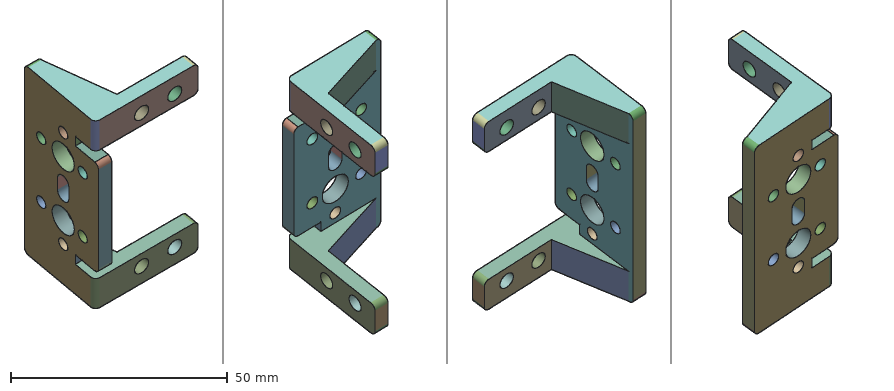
import cadquery as cq

height = 60.0
width = 26.7
thickness = 4.0
corner_radius = 1.5

arm_face_x = 25.4
arm_reach = 31.0
arm_height = 9.6
gusset_reach = 10.0
arm_hole_diameter = 4.2
arm_hole_y = (14.05, 24.0)
arm_hole_inset = 5.5

notch_height = 3.0
notch_x = 18.35

pattern_x = 14.0
pattern_z = 0.6
large_hole_diameter = 8.0
large_hole_offset = 10.2
small_hole_diameter = 3.3
left_hole_spacing = 7.9
right_hole_spacing = 7.0
outer_hole_spacing = 7.6
slot_width = 4.0
slot_length = 8.0


def make_plate():
    """Middle flange and left corners are rounded; both notches open to the right."""
    flange_top = height / 2 - arm_height - notch_height
    plate = cq.Workplane("XY").box(arm_face_x, thickness, height, centered=(False, False, True))
    plate = plate.edges("|Y and <X").fillet(corner_radius)
    for side in (1, -1):
        notch_z = side * (flange_top + notch_height / 2)
        notch = (
            cq.Workplane("XY")
            .box(width - notch_x, thickness, notch_height, centered=(False, False, True))
            .translate((notch_x, 0, notch_z))
        )
        plate = plate.cut(notch)
    flange = (
        cq.Workplane("XY")
        .box(width - notch_x, thickness, 2 * flange_top, centered=(False, False, True))
        .translate((notch_x, 0, 0))
        .edges("|Y and >X")
        .fillet(corner_radius)
    )
    return plate.union(flange)


def make_arm():
    """Arm with its sloping gusset, its lower face at Z = 0."""
    arm_inner_x = arm_face_x - thickness
    outline = [
        (corner_radius, 0),
        (arm_face_x, 0),
        (arm_face_x, arm_reach),
        (arm_inner_x, arm_reach),
        (arm_inner_x, gusset_reach),
        (corner_radius, thickness),
    ]
    arm = cq.Workplane("XY").polyline(outline).close().extrude(arm_height)
    return arm.edges("|X and >Y").fillet(corner_radius)


def through_hole_x(y, z, diameter):
    return cq.Workplane("YZ").center(y, z).circle(diameter / 2).extrude(width)


def through_hole_y(x, z, diameter):
    return cq.Workplane("XZ").center(x, z).circle(diameter / 2).extrude(-arm_reach)


def round_bend(body):
    """Round the front edge of each arm's outer face."""
    arm_middle = (height - arm_height) / 2
    for z in (arm_middle, -arm_middle):
        bend_edge = cq.NearestToPointSelector((arm_face_x, 0, z))
        body = body.edges(bend_edge).fillet(corner_radius)
    return body


body = make_plate()
for arm_bottom in (-height / 2, height / 2 - arm_height):
    body = body.union(make_arm().translate((0, 0, arm_bottom)))
body = round_bend(body)

for side in (1, -1):
    for y in arm_hole_y:
        body = body.cut(through_hole_x(y, side * (height / 2 - arm_hole_inset), arm_hole_diameter))

    large_z = pattern_z + side * large_hole_offset
    body = body.cut(through_hole_y(pattern_x, large_z, large_hole_diameter))
    small_hole_points = (
        (pattern_x - left_hole_spacing, large_z),
        (pattern_x + right_hole_spacing, large_z),
        (pattern_x, large_z + side * outer_hole_spacing),
    )
    for x, z in small_hole_points:
        body = body.cut(through_hole_y(x, z, small_hole_diameter))

slot = (
    cq.Workplane("XZ")
    .center(pattern_x, pattern_z)
    .slot2D(slot_length, slot_width, 90)
    .extrude(-thickness)
)
result = body.cut(slot)